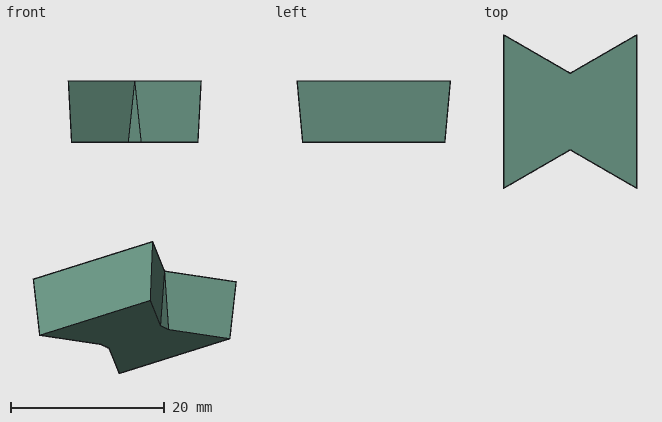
import cadquery as cq
import math

length = 20.0
waist = 10.0
height = 8.0
notch_angle = math.radians(30.0)
draft = math.radians(3.0)

half_width = (length - waist) / 2 / math.tan(notch_angle)
inset = height * math.tan(draft)


def bow_tie(wall_inset):
    """Bow-tie corner points with every wall moved inward by wall_inset."""
    x = half_width - wall_inset
    notch_y = waist / 2 - wall_inset / math.cos(notch_angle)
    tip_y = notch_y + x * math.tan(notch_angle)
    return [(-x, -tip_y), (0, -notch_y), (x, -tip_y), (x, tip_y), (0, notch_y), (-x, tip_y)]


body = (
    cq.Workplane("XY")
    .polyline(bow_tie(inset)).close()
    .workplane(offset=height)
    .polyline(bow_tie(0)).close()
    .loft(ruled=True, combine=True)
)

facet_half_width = inset / math.sin(notch_angle)
wedge = (
    cq.Workplane("XZ")
    .polyline([(-facet_half_width, 0), (facet_half_width, 0), (0, height)]).close()
    .extrude(waist / 2, both=True)
)

result = body.union(wedge)